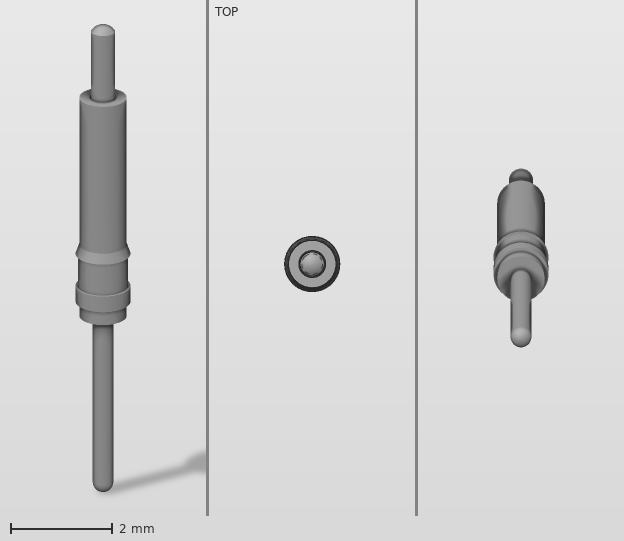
import cadquery as cq


barrel_diameter = 0.94
barrel_length = 4.72

collar_diameter = 1.09
collar_bottom = 0.31
collar_top = 0.65
neck_diameter = 0.99
barb_diameter = collar_diameter
barb_bottom = 1.34
barb_top = 1.55

tail_diameter = 0.41
tail_length = 3.80

bore_diameter = 0.53
bore_floor = barb_top
plunger_diameter = 0.48
plunger_projection = 1.56
tip_height = 0.13


def make_barrel():
    """Barrel, collar, barb and tail as one turned profile, with a blind bore."""
    barrel_radius = barrel_diameter / 2
    collar_radius = collar_diameter / 2
    neck_radius = neck_diameter / 2
    barb_radius = barb_diameter / 2
    tail_radius = tail_diameter / 2
    bore_radius = bore_diameter / 2
    round_start = tail_radius - tail_length
    round_middle = tail_radius * 0.5 ** 0.5
    profile = (
        cq.Workplane("XZ")
        .moveTo(0, -tail_length)
        .threePointArc((round_middle, round_start - round_middle), (tail_radius, round_start))
        .lineTo(tail_radius, 0)
        .lineTo(barrel_radius, 0)
        .lineTo(barrel_radius, collar_bottom)
        .lineTo(collar_radius, collar_bottom)
        .lineTo(collar_radius, collar_top)
        .lineTo(neck_radius, collar_top)
        .lineTo(neck_radius, barb_bottom)
        .lineTo(barb_radius, barb_bottom)
        .lineTo(barrel_radius, barb_top)
        .lineTo(barrel_radius, barrel_length)
        .lineTo(bore_radius, barrel_length)
        .lineTo(bore_radius, bore_floor)
        .lineTo(0, bore_floor)
        .close()
    )
    return profile.revolve(360, (0, 0), (0, 1))


def make_plunger():
    """Round plunger with a shallow spherical tip."""
    radius = plunger_diameter / 2
    tip_top = barrel_length + plunger_projection
    tip_start = tip_top - tip_height
    tip_radius = (radius ** 2 + tip_height ** 2) / (2 * tip_height)
    tip_center = tip_top - tip_radius
    arc_x = radius / 2
    arc_z = tip_center + (tip_radius ** 2 - arc_x ** 2) ** 0.5
    profile = (
        cq.Workplane("XZ")
        .moveTo(0, bore_floor)
        .lineTo(radius, bore_floor)
        .lineTo(radius, tip_start)
        .threePointArc((arc_x, arc_z), (0, tip_top))
        .close()
    )
    return profile.revolve(360, (0, 0), (0, 1))


barrel = make_barrel()
plunger = make_plunger()

result = cq.Compound.makeCompound([barrel.val(), plunger.val()])